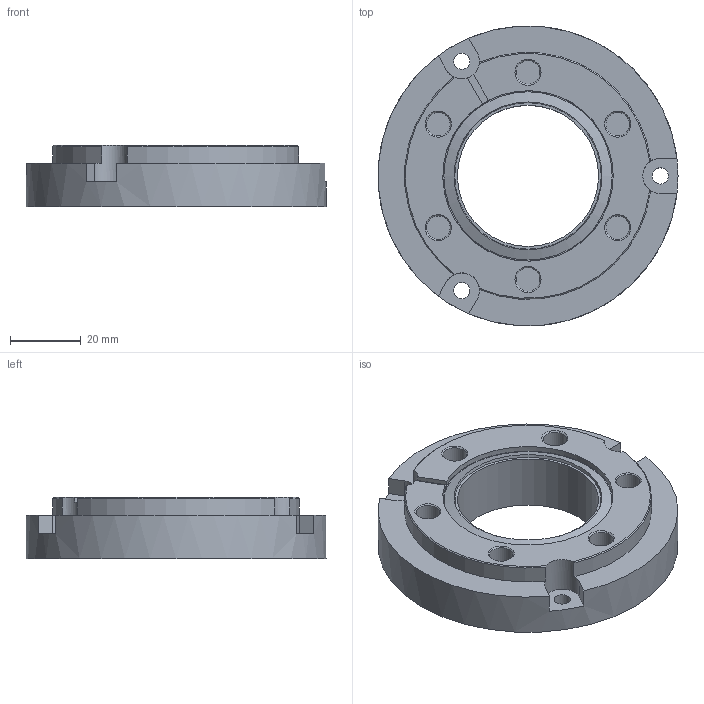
import cadquery as cq
import math

flange_diameter = 85.0
flange_thickness = 12.2
boss_diameter = 70.0
total_height = 17.3
boss_chamfer = 0.3
bore_diameter = 40.0

recess_diameter = 48.3
knife_diameter = 41.9
knife_depth = 0.5
cone_angle = 20.0
recess_floor_width = 0.3
ledge_diameter = 41.5
ledge_depth = 1.3

blind_hole_count = 6
blind_hole_circle = 58.7
blind_hole_first_angle = 30.0
blind_hole_diameter = 6.7
blind_hole_depth = 12.0
blind_hole_chamfer = 0.35

mount_count = 3
mount_circle = 75.0
mount_hole_diameter = 4.6
mount_pocket_diameter = 10.0
mount_floor_height = 7.0

groove_mount_index = 1
groove_width = 2.0
groove_depth = ledge_depth

flange_radius = flange_diameter / 2
boss_radius = boss_diameter / 2
recess_radius = recess_diameter / 2
cone_foot_radius = recess_radius - recess_floor_width
knife_radius = knife_diameter / 2
mount_radius = mount_circle / 2
mount_step = 360.0 / mount_count


def revolved_body():
    """Flange, boss and knife-edge seal as one revolved section (radius, height)."""
    cone_rise = (cone_foot_radius - knife_radius) * math.tan(math.radians(cone_angle))
    knife_height = total_height - knife_depth
    recess_height = knife_height - cone_rise
    ledge_height = total_height - ledge_depth
    section = [
        (bore_diameter / 2, 0),
        (flange_radius, 0),
        (flange_radius, flange_thickness),
        (boss_radius, flange_thickness),
        (boss_radius, total_height - boss_chamfer),
        (boss_radius - boss_chamfer, total_height),
        (recess_radius, total_height),
        (recess_radius, recess_height),
        (cone_foot_radius, recess_height),
        (knife_radius, knife_height),
        (ledge_diameter / 2, ledge_height),
        (bore_diameter / 2, ledge_height),
    ]
    return cq.Workplane("XZ").polyline(section).close().revolve(360, (0, 0, 0), (0, 1, 0))


def blind_holes():
    """Cutters for the ring of blind holes with chamfered mouths."""
    hole_radius = blind_hole_diameter / 2
    mouth_radius = hole_radius + blind_hole_chamfer
    section = [
        (0, total_height - blind_hole_depth),
        (hole_radius, total_height - blind_hole_depth),
        (hole_radius, total_height - blind_hole_chamfer),
        (mouth_radius, total_height),
        (0, total_height),
    ]
    cutter = cq.Workplane("XZ").polyline(section).close().revolve(360, (0, 0, 0), (0, 1, 0))
    cutter = cutter.translate((blind_hole_circle / 2, 0, 0))
    step = 360.0 / blind_hole_count
    angles = [blind_hole_first_angle + i * step for i in range(blind_hole_count)]
    return [cutter.rotate((0, 0, 0), (0, 0, 1), angle) for angle in angles]


def mount_cutters():
    """Cutters for the mounting holes, their round pockets and the slots out to the rim."""
    pocket_height = total_height - mount_floor_height
    slot_length = flange_radius - mount_radius + mount_pocket_diameter / 2
    floor_plane = cq.Workplane("XY", origin=(mount_radius, 0, mount_floor_height))
    pocket = floor_plane.circle(mount_pocket_diameter / 2).extrude(pocket_height)
    slot = floor_plane.rect(slot_length, mount_pocket_diameter).extrude(pocket_height)
    slot = slot.translate((slot_length / 2, 0, 0))
    base_plane = cq.Workplane("XY", origin=(mount_radius, 0, 0))
    hole = base_plane.circle(mount_hole_diameter / 2).extrude(total_height)
    cutter = pocket.union(slot).union(hole)
    return [cutter.rotate((0, 0, 0), (0, 0, 1), i * mount_step) for i in range(mount_count)]


def leak_groove():
    """Cutter for the radial groove, reaching over the flat floor of the seal recess."""
    length = mount_radius - cone_foot_radius
    mid_radius = (mount_radius + cone_foot_radius) / 2
    groove = cq.Workplane("XY", origin=(mid_radius, 0, total_height - groove_depth))
    groove = groove.rect(length, groove_width).extrude(groove_depth)
    return groove.rotate((0, 0, 0), (0, 0, 1), groove_mount_index * mount_step)


result = revolved_body()
for cutter in blind_holes() + mount_cutters() + [leak_groove()]:
    result = result.cut(cutter)